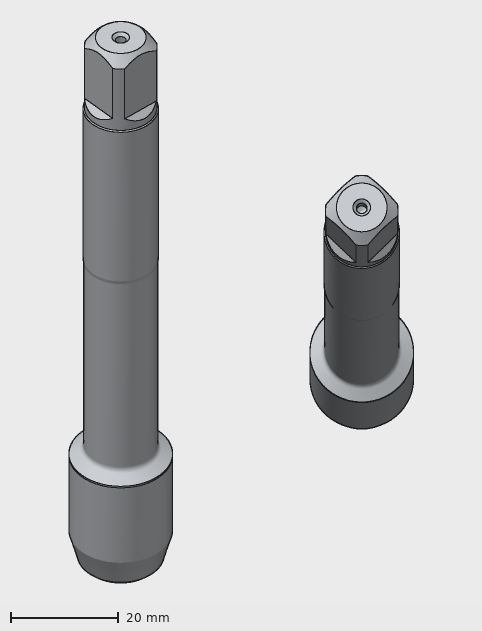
import cadquery as cq
import math

TOTAL_LENGTH = 125.0
AXIS_PLANE = "XZ"

HEAD_DIAMETER = 19.2
HEAD_TOP = 25.0
LEAD_TOP = 7.0
LEAD_TIP_DIAMETER = 16.1
TIP_CHAMFER = 1.1

SHOULDER_RIM_HEIGHT = 0.4
SHOULDER_HALF_ANGLE = 60.0
SHOULDER_FILLET_RADIUS = 1.2
NECK_DIAMETER = 13.8
NECK_TOP = 71.5
SHANK_DIAMETER = 14.0
SHANK_BOTTOM = 72.2
SHANK_TOP = 108.2
SHANK_EDGE_CHAMFER = 0.2

DRIVE_DIAMETER = 13.5
DRIVE_END_DIAMETER = 9.4
DRIVE_WIDTH = 11.0
FLAT_BOTTOM = 111.0
RAMP_ANGLE = 45.0

CENTRE_DIAMETER = 2.0
CENTRE_MOUTH_DIAMETER = 3.2
CENTRE_DEPTH = 2.5
CENTRE_POINT_ANGLE = 120.0


def revolve_profile(points):
    """Turn a closed (radius, height) outline around the Z axis."""
    return cq.Workplane(AXIS_PLANE).polyline(points).close().revolve(360, (0, 0), (0, 1))


def make_head():
    """Cylindrical cutting head with a tapered lead and a chamfered tip."""
    head_radius = HEAD_DIAMETER / 2
    lead_tip_radius = LEAD_TIP_DIAMETER / 2
    return revolve_profile([
        (0, 0),
        (lead_tip_radius - TIP_CHAMFER, 0),
        (lead_tip_radius, TIP_CHAMFER),
        (head_radius, LEAD_TOP),
        (head_radius, HEAD_TOP),
        (0, HEAD_TOP),
    ])


def make_turned_shank():
    """Shank with a rimmed, filleted conical shoulder at its foot and a chamfered drive end."""
    shank_radius = SHANK_DIAMETER / 2
    drive_radius = DRIVE_DIAMETER / 2
    drive_end_radius = DRIVE_END_DIAMETER / 2
    drive_chamfer = drive_radius - drive_end_radius
    rim_radius = HEAD_DIAMETER / 2
    rim_top = HEAD_TOP + SHOULDER_RIM_HEIGHT
    neck_radius = NECK_DIAMETER / 2

    cone_angle = math.radians(SHOULDER_HALF_ANGLE)
    fillet_centre_radius = neck_radius + SHOULDER_FILLET_RADIUS
    cone_top_radius = fillet_centre_radius - SHOULDER_FILLET_RADIUS * math.cos(cone_angle)
    cone_top = rim_top + (rim_radius - cone_top_radius) / math.tan(cone_angle)
    neck_bottom = cone_top + SHOULDER_FILLET_RADIUS * math.sin(cone_angle)
    fillet_middle = (
        fillet_centre_radius - SHOULDER_FILLET_RADIUS * math.cos(cone_angle / 2),
        neck_bottom - SHOULDER_FILLET_RADIUS * math.sin(cone_angle / 2),
    )

    return (
        cq.Workplane(AXIS_PLANE)
        .moveTo(0, HEAD_TOP)
        .lineTo(rim_radius, HEAD_TOP)
        .lineTo(rim_radius, rim_top)
        .lineTo(cone_top_radius, cone_top)
        .threePointArc(fillet_middle, (neck_radius, neck_bottom))
        .lineTo(neck_radius, NECK_TOP)
        .lineTo(shank_radius, SHANK_BOTTOM)
        .lineTo(shank_radius, SHANK_TOP - SHANK_EDGE_CHAMFER)
        .lineTo(drive_radius, SHANK_TOP)
        .lineTo(drive_radius, TOTAL_LENGTH - drive_chamfer)
        .lineTo(drive_end_radius, TOTAL_LENGTH)
        .lineTo(0, TOTAL_LENGTH)
        .close()
        .revolve(360, (0, 0), (0, 1))
    )


def make_flat_cutter():
    """Tool for the +X drive flat, with a ramp that runs out at its foot."""
    inner = DRIVE_WIDTH / 2
    outer = SHANK_DIAMETER / 2
    ramp_drop = (outer - inner) * math.tan(math.radians(RAMP_ANGLE))
    return (
        cq.Workplane(AXIS_PLANE)
        .polyline([
            (inner, FLAT_BOTTOM),
            (outer, FLAT_BOTTOM - ramp_drop),
            (outer, TOTAL_LENGTH),
            (inner, TOTAL_LENGTH),
        ])
        .close()
        .extrude(SHANK_DIAMETER / 2, both=True)
    )


def make_centre_hole():
    """Blind centre hole with a conical point and a 45 degree countersunk mouth."""
    hole_radius = CENTRE_DIAMETER / 2
    mouth_radius = CENTRE_MOUTH_DIAMETER / 2
    point_height = hole_radius / math.tan(math.radians(CENTRE_POINT_ANGLE / 2))
    return revolve_profile([
        (0, TOTAL_LENGTH - CENTRE_DEPTH - point_height),
        (hole_radius, TOTAL_LENGTH - CENTRE_DEPTH),
        (hole_radius, TOTAL_LENGTH - (mouth_radius - hole_radius)),
        (mouth_radius, TOTAL_LENGTH),
        (0, TOTAL_LENGTH),
    ])


def make_shank():
    """Finished shank with its drive square and centre hole."""
    shank = make_turned_shank()
    flat_cutter = make_flat_cutter()
    for angle in (0, 90, 180, 270):
        shank = shank.cut(flat_cutter.rotate((0, 0, 0), (0, 0, 1), angle))
    return shank.cut(make_centre_hole())


head = make_head()
shank = make_shank()

result = cq.Compound.makeCompound([head.val(), shank.val()])